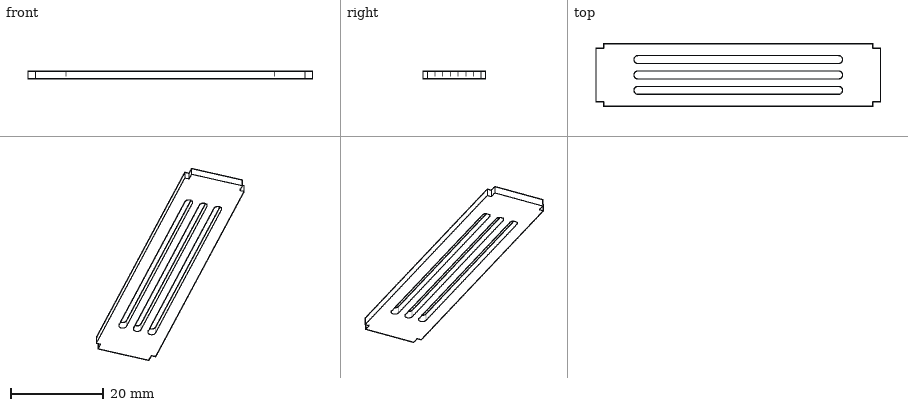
import cadquery as cq

length = 61.6
width = 13.6
thickness = 1.65

notch_length = thickness
notch_width = 1.0

slot_count = 3
slot_length = 45.1
slot_width = 1.65
slot_pitch = 2 * slot_width


def plate_with_notched_corners():
    """Cross-shaped plate: a full-length tongue and a full-width body."""
    tongue = cq.Workplane("XY").box(length, width - 2 * notch_width, thickness)
    body = cq.Workplane("XY").box(length - 2 * notch_length, width, thickness)
    return body.union(tongue).clean()


def cut_slots(plate):
    """Cut the evenly spaced lengthwise slots through the plate."""
    return (
        plate.faces(">Z")
        .workplane(origin=(0, 0, 0))
        .rarray(0.6, slot_pitch, 1, slot_count)
        .slot2D(slot_length, slot_width)
        .cutThruAll()
    )


result = cut_slots(plate_with_notched_corners())